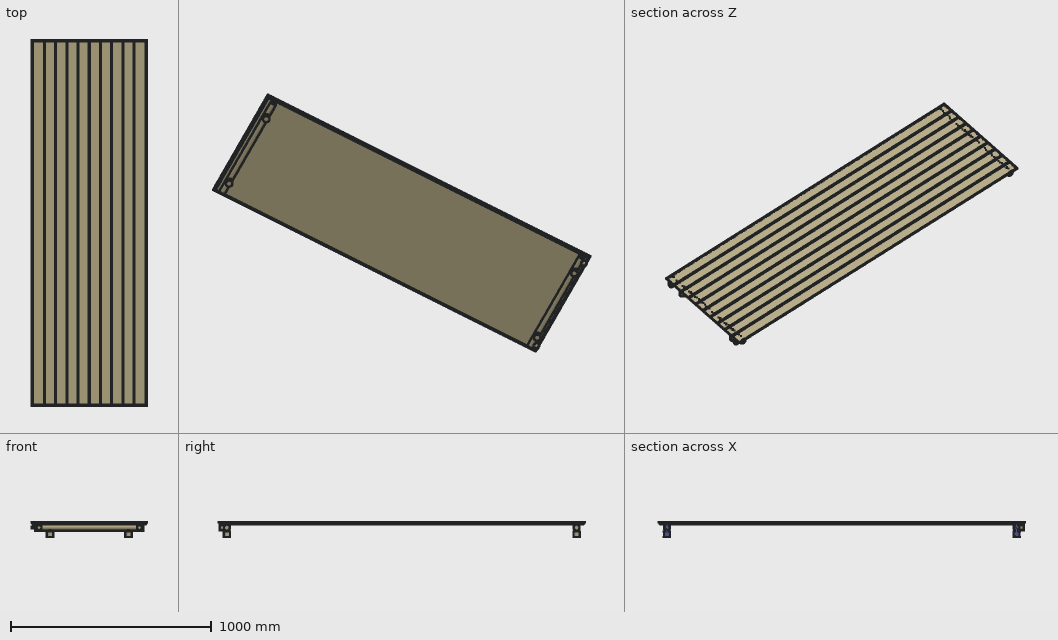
import cadquery as cq

plate_width = 575.91
plate_length = 1821.81
plate_thickness = 1.5
overall_height = 75.5
plate_bottom = overall_height - plate_thickness

tray_depth = 11.5
tray_edge_margin = 1.0
tray_side_run = 7.9
tray_width = plate_width - 2 * tray_edge_margin
tray_length = plate_length - 2 * tray_edge_margin

cavity_side_inset = 8.5
cavity_end_inset = 7.0
cavity_depth = 5.5
cavity_width = plate_width - 2 * cavity_side_inset
cavity_length = plate_length - 2 * cavity_end_inset
rib_count = 9
rib_pitch = 55.8
rib_thickness = 5.5

header_diameter = 31.0
header_length = 542.0
header_offset = 870.0
header_height = 47.3

foot_diameter = 33.0
foot_spacing = 390.0
foot_height = 28.5
neck_diameter = 18.0

outlet_diameter = 26.0
outlet_spacing = 500.0
outlet_end = 906.0

vent_diameter = 10.0
vent_bore = 6.0
vent_height = 48.0
vent_embed = 1.0


def cylinder_x(diameter, x_start, x_end, y, z):
    """Solid cylinder along X."""
    return cq.Workplane("YZ", origin=(x_start, y, z)).circle(diameter / 2).extrude(x_end - x_start)


def make_plate():
    bottom = cq.Workplane("XY", origin=(0, 0, plate_bottom))
    return bottom.rect(plate_width, plate_length).extrude(plate_thickness)


def make_tray():
    top = cq.Workplane("XY", origin=(0, 0, plate_bottom))
    shell = (
        top.rect(tray_width, tray_length)
        .workplane(offset=-tray_depth)
        .rect(tray_width - 2 * tray_side_run, tray_length - 2 * tray_side_run)
        .loft()
    )
    cavity = top.rect(cavity_width, cavity_length).extrude(-cavity_depth)
    ribs = (
        top.rarray(rib_pitch, 1, rib_count, 1)
        .rect(rib_thickness, cavity_length)
        .extrude(-cavity_depth)
    )
    return shell.cut(cavity.cut(ribs))


def make_header(y):
    header = cylinder_x(header_diameter, -header_length / 2, header_length / 2, y, header_height)
    for x in (-foot_spacing / 2, foot_spacing / 2):
        base = cq.Workplane("XY", origin=(x, y, 0))
        foot = base.circle(foot_diameter / 2).extrude(foot_height)
        neck = base.circle(neck_diameter / 2).extrude(header_height)
        header = header.union(foot).union(neck)
    return header


def make_outlet(x):
    start = cq.Workplane("XZ", origin=(x, -header_offset, header_height))
    return start.circle(outlet_diameter / 2).extrude(outlet_end - header_offset)


def add_vent(panel):
    tip = -plate_width / 2
    root = -header_length / 2
    vent = cylinder_x(vent_diameter, tip, root + vent_embed, header_offset, vent_height)
    bore = cylinder_x(vent_bore, tip, root, header_offset, vent_height)
    return panel.union(vent).cut(bore)


def make_panel():
    """Tray, headers, feet, outlets and vent as one solid."""
    panel = make_tray()
    for y in (-header_offset, header_offset):
        panel = panel.union(make_header(y))
    for x in (-outlet_spacing / 2, outlet_spacing / 2):
        panel = panel.union(make_outlet(x))
    return add_vent(panel)


plate = make_plate()
panel = make_panel()

result = cq.Compound.makeCompound([plate.val(), *panel.solids().vals()])